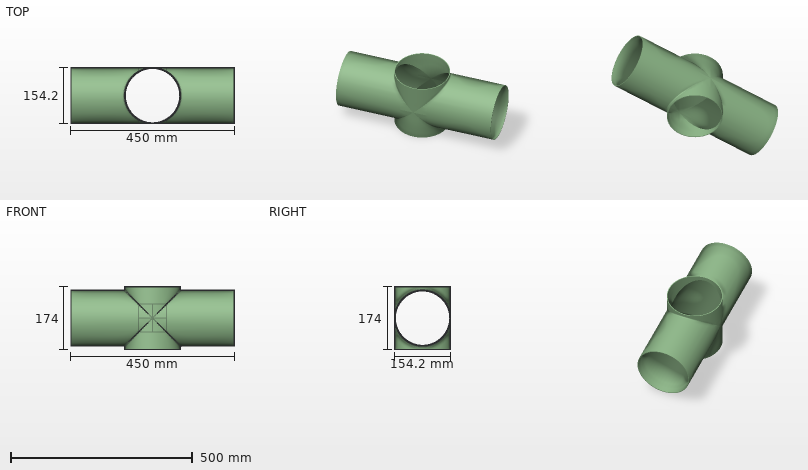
import cadquery as cq
import math

outer_radius = 77.0
wall = 2.0
inner_radius = outer_radius - wall
run_length = 450.0
branch_length = 174.0

patch_half = outer_radius / 2
patch_bulge = 0.12

fillet_radius = 2.5
fillet_half_depth = math.sqrt(outer_radius**2 - patch_half**2)

quarter_turns = (0, 90, 180, 270)


def turned(body, angle):
    """The body turned around the Y axis."""
    return body.rotate((0, 0, 0), (0, 1, 0), angle)


def half_bar(radius, height):
    """Half of an upright solid bar above the crossing point, its radius swelling over the patch."""
    halfway_radius = radius + patch_bulge * 3 / 4
    profile = (
        cq.Workplane("YZ")
        .lineTo(radius + patch_bulge, 0)
        .threePointArc((halfway_radius, patch_half / 2), (radius, patch_half))
        .lineTo(radius, height)
        .lineTo(0, height)
        .close()
    )
    return profile.revolve(180, (0, 0, 0), (0, 1, 0))


def arm(height):
    """One upright hollow arm, mitred at 45 degrees where it meets its neighbours."""
    tube_half = half_bar(outer_radius, height).cut(half_bar(inner_radius, height))
    miter = (
        cq.Workplane("XZ")
        .polyline([(0, 0), (height, height), (-height, height)])
        .close()
        .extrude(2 * outer_radius, both=True)
    )
    arm_half = tube_half.intersect(miter)
    return arm_half.union(arm_half.rotate((0, 0, 0), (0, 0, 1), 180))


def cross_pipe():
    """Four mitred arms joined around the Y axis."""
    run_arm = arm(run_length / 2)
    branch_arm = arm(branch_length / 2)
    body = branch_arm
    for angle, piece in zip(quarter_turns[1:], (run_arm, branch_arm, run_arm)):
        body = body.union(turned(piece, angle))
    return body


def plain_cross(radius):
    """Solid cross of two straight round bars."""
    run = cq.Workplane("YZ").circle(radius).extrude(run_length / 2, both=True)
    branch = cq.Workplane("XY").circle(radius).extrude(branch_length / 2, both=True)
    return run.union(branch)


def crease_fillet():
    """Strip with the fillet of the +X +Z crease, rooted halfway into the pipe walls."""
    reach = outer_radius + 2 * fillet_radius
    corner = cq.Workplane("XY").box(
        reach, 2 * fillet_half_depth, reach, centered=(False, True, False)
    )
    core = plain_cross(outer_radius).intersect(corner)
    filleted_core = core.edges("%ELLIPSE").fillet(fillet_radius)
    return filleted_core.cut(plain_cross(outer_radius - wall / 2))


def build():
    """Cross pipe with a fillet strip on each of its four creases."""
    body = cross_pipe()
    strip = crease_fillet()
    for angle in quarter_turns:
        body = body.union(turned(strip, angle))
    return body


result = build()